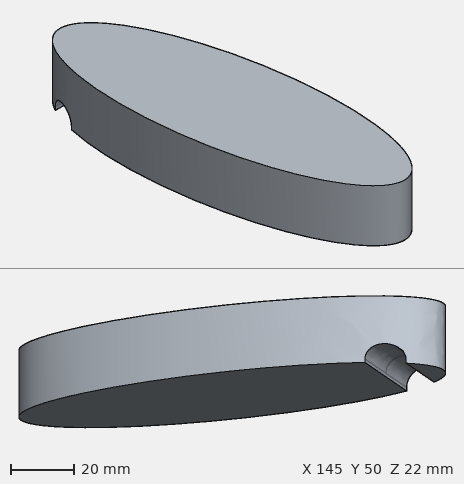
import cadquery as cq

length = 145.0
width = 50.0
height = 22.0

groove_center_x = -58.6
groove_width = 11.7
groove_wall_height = 1.2
groove_height = 6.2


def make_plate():
    return cq.Workplane("XY").ellipse(length / 2, width / 2).extrude(height)


def make_groove():
    """Short straight walls below a half-elliptical roof, as long as the plate is wide."""
    half_width = groove_width / 2
    roof_rise = groove_height - groove_wall_height
    walls = cq.Workplane("XY").box(
        groove_width, width, groove_wall_height, centered=(True, True, False)
    )
    roof = (
        cq.Workplane("XZ")
        .center(0, groove_wall_height)
        .ellipse(half_width, roof_rise)
        .extrude(width / 2, both=True)
    )
    return walls.union(roof).translate((groove_center_x, 0, 0))


result = make_plate().cut(make_groove())